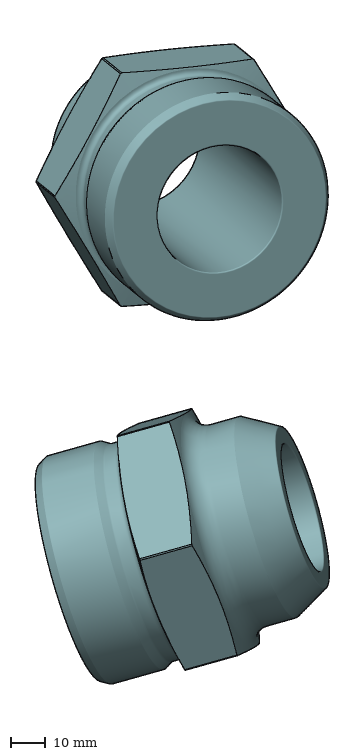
import cadquery as cq
import math

length = 70.0
across_flats = 70.0
across_corners = 80.6
bore_radius = 38.0 / 2
edge_rounding = 0.4
match_tolerance = 0.01

nose_radius = 24.1
nose_length = 10.55
spigot_radius = 60.0 / 2
spigot_end = 19.25

hex_start = 25.1
hex_end = 44.0
hex_chamfer_length = 1.5
hex_face_radius = 69.0 / 2
corner_radius = across_corners / 2

groove_radius = 64.9 / 2
groove_fillet = 1.6
groove_end = 48.75
runout_fillet = 1.1
runout_angle = math.radians(30)
thread_radius = 68.0 / 2
end_chamfer_length = 2.7
end_chamfer_depth = 1.5


def runout_arc_point(angle):
    """Point on the arc tangent to the groove floor, where its slope is angle."""
    return (
        groove_end + runout_fillet * math.sin(angle),
        groove_radius + runout_fillet * (1 - math.cos(angle)),
    )


runout_middle = runout_arc_point(runout_angle / 2)
runout_start = runout_arc_point(runout_angle)
runout_length = (thread_radius - runout_start[1]) / math.tan(runout_angle)
thread_start = runout_start[0] + runout_length
thread_chamfer_start = length - end_chamfer_length
thread_tip_radius = thread_radius - end_chamfer_depth


def turned_body():
    """Revolve the outer profile about X, flange corners included."""
    flare_depth = hex_face_radius - spigot_radius
    flare_length = hex_start - spigot_end
    flare_radius = (flare_length**2 + flare_depth**2) / (2 * flare_depth)
    half_angle = math.atan2(flare_depth, flare_length)
    flare_middle = (
        spigot_end + flare_radius * math.sin(half_angle),
        spigot_radius + flare_radius * (1 - math.cos(half_angle)),
    )
    fillet_offset = groove_fillet * (1 - math.sqrt(0.5))
    profile = (
        cq.Workplane("XY")
        .moveTo(0, 0)
        .lineTo(0, nose_radius)
        .lineTo(nose_length, spigot_radius)
        .lineTo(spigot_end, spigot_radius)
        .threePointArc(flare_middle, (hex_start, hex_face_radius))
        .lineTo(hex_start + hex_chamfer_length, corner_radius)
        .lineTo(hex_end - hex_chamfer_length, corner_radius)
        .lineTo(hex_end, hex_face_radius)
        .lineTo(hex_end, groove_radius + groove_fillet)
        .threePointArc(
            (hex_end + fillet_offset, groove_radius + fillet_offset),
            (hex_end + groove_fillet, groove_radius),
        )
        .lineTo(groove_end, groove_radius)
        .threePointArc(runout_middle, runout_start)
        .lineTo(thread_start, thread_radius)
        .lineTo(thread_chamfer_start, thread_radius)
        .lineTo(length, thread_tip_radius)
        .lineTo(length, 0)
        .close()
    )
    return profile.revolve(360, (0, 0, 0), (1, 0, 0))


def hexagon_bar():
    """Hexagonal bar along X with two corners on the Y axis."""
    corner_diameter = across_flats / math.cos(math.pi / 6)
    return cq.Workplane("YZ").polygon(6, corner_diameter).extrude(length)


def through_bore():
    """Straight bore along the full length."""
    return cq.Workplane("YZ").circle(bore_radius).extrude(length)


def round_sharp_edges(body):
    """Lightly round the turned edges of the nose, thread and bore mouths."""
    sharp_circles = [
        (0, bore_radius),
        (0, nose_radius),
        (nose_length, spigot_radius),
        (thread_start, thread_radius),
        (thread_chamfer_start, thread_radius),
        (length, thread_tip_radius),
        (length, bore_radius),
    ]

    def is_sharp(edge):
        if edge.geomType() != "CIRCLE":
            return False
        return any(
            abs(edge.Center().x - x) < match_tolerance
            and abs(edge.radius() - radius) < match_tolerance
            for x, radius in sharp_circles
        )

    return body.edges().filter(is_sharp).fillet(edge_rounding)


flanged_body = turned_body().intersect(hexagon_bar()).cut(through_bore())
result = round_sharp_edges(flanged_body)